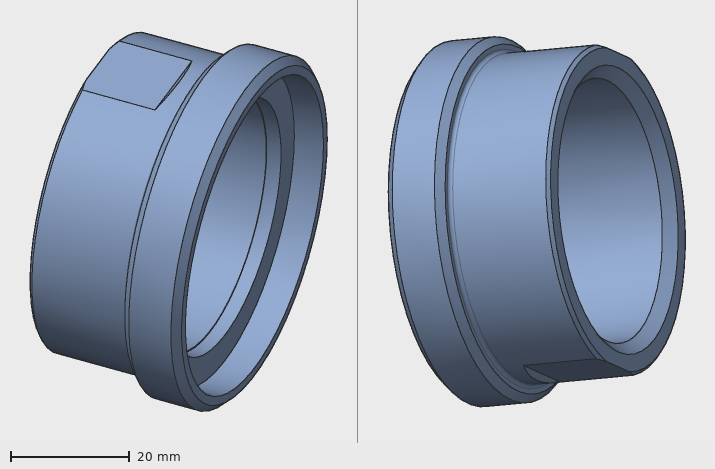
import cadquery as cq

length = 29.0
collar_radius = 61.85 / 2
sleeve_radius = 56.0 / 2

sleeve_length = 18.5
sleeve_chamfer = 0.6
root_fillet = 0.7
collar_chamfer = 1.35

bore_radius = 44.85 / 2
mouth_radius = 48.85 / 2
relief_radius = 45.2 / 2
relief_start = 20.95
socket_radius = sleeve_radius
socket_depth = 5.4

flat_height = 26.95
flat_length = 14.05


def make_ring():
    """Revolve the half section, drawn as (axial position, radius)."""
    mouth_depth = mouth_radius - bore_radius
    socket_floor = length - socket_depth
    return (
        cq.Workplane("XY")
        .moveTo(0, mouth_radius)
        .lineTo(0, sleeve_radius - sleeve_chamfer)
        .lineTo(sleeve_chamfer, sleeve_radius)
        .lineTo(sleeve_length - root_fillet, sleeve_radius)
        .radiusArc((sleeve_length, sleeve_radius + root_fillet), -root_fillet)
        .lineTo(sleeve_length, collar_radius - collar_chamfer)
        .lineTo(sleeve_length + collar_chamfer, collar_radius)
        .lineTo(length - collar_chamfer, collar_radius)
        .lineTo(length, collar_radius - collar_chamfer)
        .lineTo(length, socket_radius)
        .lineTo(socket_floor, socket_radius)
        .lineTo(socket_floor, relief_radius)
        .lineTo(relief_start, relief_radius)
        .lineTo(relief_start, bore_radius)
        .lineTo(mouth_depth, bore_radius)
        .close()
        .revolve(360, (0, 0, 0), (1, 0, 0))
    )


def make_flat_cutter(side):
    """Cutter for one flat, ending in a 45 degree ramp; side is +1 (top) or -1 (bottom)."""
    cut_depth = collar_radius - flat_height
    return (
        cq.Workplane("XZ")
        .moveTo(0, side * flat_height)
        .lineTo(flat_length, side * flat_height)
        .lineTo(flat_length + cut_depth, side * collar_radius)
        .lineTo(0, side * collar_radius)
        .close()
        .extrude(collar_radius, both=True)
    )


result = make_ring()
for side in (1, -1):
    result = result.cut(make_flat_cutter(side))